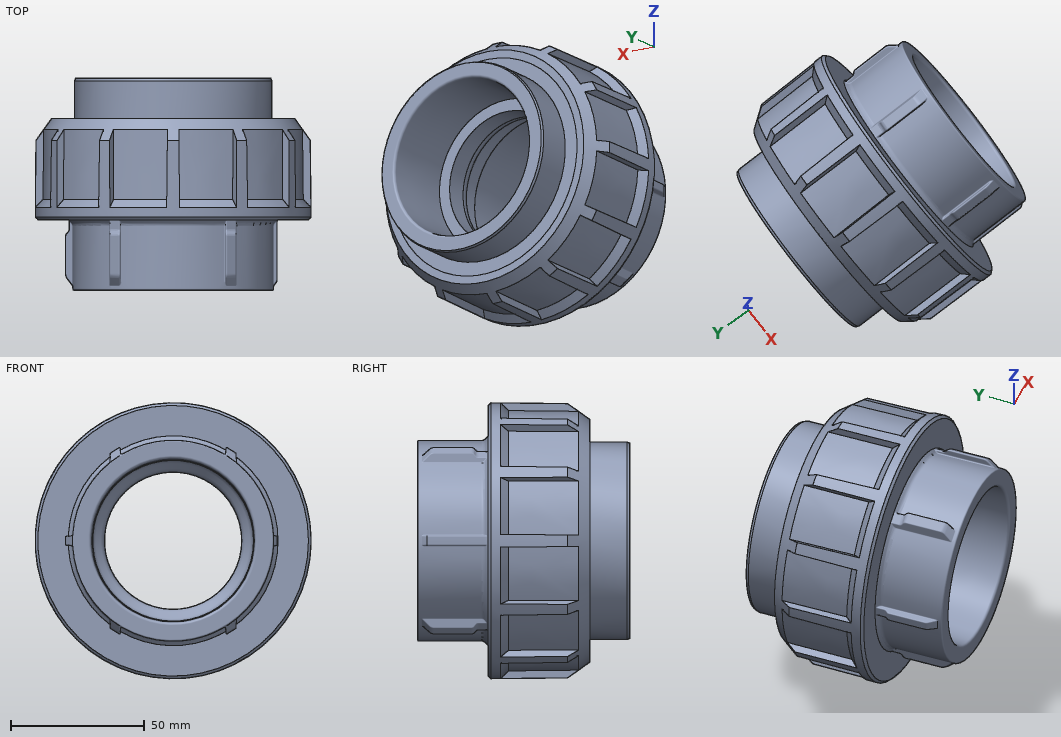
import cadquery as cq
import math


LENGTH = 79.5
NUT_FRONT = 26.4
NUT_BACK = 64.5
LIP_BACK = 32.1
JOINT = 42.4

NUT_RADIUS = 51.7
NUT_CHAMFER = 1.0
NUT_LIP_RADIUS = 39.3
NUT_CAVITY_RADIUS = 42.4
CONE_START = 56.2
CONE_START_RADIUS = 51.4
NUT_BACK_RADIUS = 45.5
POCKET_FRONT = 31.0
POCKET_FLOOR_FRONT = 34.0
POCKET_BACK = 60.4
POCKET_FLOOR_FRONT_RADIUS = 48.8
POCKET_FLOOR_BACK_RADIUS = 48.5
CUT_MARGIN = 1.0
CLEAR_RADIUS = NUT_RADIUS + CUT_MARGIN
GRIP_COUNT = 12
GRIP_FRONT_WIDTH = 4.9
GRIP_BACK_WIDTH = 4.1

BORE_RADIUS = 25.7
SOCKET_DEPTH = 28.4
SOCKET_MOUTH_RADIUS = 30.7
SOCKET_END_RADIUS = 30.3
MOUTH_ROUND = 1.0

FRONT_RADIUS = 37.7
FRONT_EDGE_ROUND = 0.5
COLLAR_FILLET = 2.0
THROAT_RADIUS = 30.1
THROAT_STEP = 0.3
THROAT_CONE_START = 36.5
THROAT_CONE_START_RADIUS = 29.0
THROAT_CONE_END_RADIUS = 26.9

RIB_FRONT = 1.3
RIB_FRONT_RADIUS = 37.5
RIB_LOW_RADIUS = 39.0
RIB_HIGH_RADIUS = 40.4
RIB_BEVEL_END = 5.2
RIB_STEP_FRONT = 20.9
RIB_STEP_ROUND = 1.6
RIB_BEVEL_ROUND = 2.8
RIB_EDGE_ROUND = 0.4
RIB_ROOT_FILLET = 0.4
RIB_ROOT_RADIUS = 35.2
RIB_ROOT_WIDTH = 4.3
RIB_TIP_WIDTH = 3.1
RIB_PAIR_OFFSET = 21.6
RIB_TIP_LEVEL = 41.4

REAR_RADIUS = 37.0
REAR_CHAMFER_LENGTH = 1.0
REAR_CHAMFER_DEPTH = 0.4

TOLERANCE = 0.01
FULL_TURN = 360
SLOPE_45 = math.radians(45)


def revolve(profile):
    return profile.close().revolve(FULL_TURN, (0, 0, 0), (0, 1, 0))


def arc_point(center_radius, center_y, size, angle):
    """Point on a profile arc, with the angle measured from the radial direction."""
    a = math.radians(angle)
    return center_radius + size * math.cos(a), center_y + size * math.sin(a)


def arc(center, size, start, end):
    """Middle point and end point of a profile arc between two angles."""
    return arc_point(*center, size, (start + end) / 2), arc_point(*center, size, end)


def distance_from_axis(edge):
    center = edge.Center()
    return math.hypot(center.x, center.z)


def grip_rib(index):
    """Radially straight rib whose width narrows towards the back of the nut."""
    rib = (
        cq.Workplane("XY")
        .polyline([
            (-GRIP_FRONT_WIDTH / 2, POCKET_FRONT),
            (GRIP_FRONT_WIDTH / 2, POCKET_FRONT),
            (GRIP_BACK_WIDTH / 2, NUT_BACK),
            (-GRIP_BACK_WIDTH / 2, NUT_BACK),
        ])
        .close()
        .extrude(CLEAR_RADIUS)
    )
    return rib.rotate((0, 0, 0), (0, 1, 0), index * FULL_TURN / GRIP_COUNT)


def nut_pockets():
    front_slope = (NUT_RADIUS - POCKET_FLOOR_FRONT_RADIUS) / (POCKET_FLOOR_FRONT - POCKET_FRONT)
    pockets = revolve(cq.Workplane("XY").polyline([
        (POCKET_FLOOR_FRONT_RADIUS, POCKET_FLOOR_FRONT),
        (CLEAR_RADIUS, POCKET_FRONT - CUT_MARGIN / front_slope),
        (CLEAR_RADIUS, POCKET_BACK),
        (POCKET_FLOOR_BACK_RADIUS, POCKET_BACK),
    ]))
    for index in range(GRIP_COUNT):
        pockets = pockets.cut(grip_rib(index))
    return pockets


def make_nut():
    body = revolve(cq.Workplane("XY").polyline([
        (NUT_LIP_RADIUS, NUT_FRONT),
        (NUT_RADIUS - NUT_CHAMFER, NUT_FRONT),
        (NUT_RADIUS, NUT_FRONT + NUT_CHAMFER),
        (CONE_START_RADIUS, CONE_START),
        (NUT_BACK_RADIUS, NUT_BACK),
        (NUT_CAVITY_RADIUS, NUT_BACK),
        (NUT_CAVITY_RADIUS, LIP_BACK),
        (NUT_LIP_RADIUS, LIP_BACK),
    ]))
    return body.cut(nut_pockets())


def front_barrel():
    collar_start = NUT_FRONT - (NUT_LIP_RADIUS - FRONT_RADIUS)
    fillet_reach = COLLAR_FILLET * math.tan(SLOPE_45 / 2)
    fillet_center = (FRONT_RADIUS + COLLAR_FILLET, collar_start - fillet_reach)
    edge_center = (FRONT_RADIUS - FRONT_EDGE_ROUND, FRONT_EDGE_ROUND)
    mouth_center = (SOCKET_MOUTH_RADIUS + MOUTH_ROUND, MOUTH_ROUND)

    cone_end = THROAT_CONE_START + THROAT_CONE_START_RADIUS - THROAT_CONE_END_RADIUS
    throat_round = (THROAT_RADIUS - THROAT_CONE_START_RADIUS) / (1 - math.cos(SLOPE_45))
    bore_round = (THROAT_CONE_END_RADIUS - BORE_RADIUS) / (1 - math.cos(SLOPE_45))
    throat_center = (THROAT_RADIUS - throat_round, THROAT_CONE_START - throat_round * math.sin(SLOPE_45))
    bore_center = (BORE_RADIUS + bore_round, cone_end + bore_round * math.sin(SLOPE_45))

    return revolve(
        cq.Workplane("XY")
        .moveTo(SOCKET_MOUTH_RADIUS + MOUTH_ROUND, 0)
        .lineTo(FRONT_RADIUS - FRONT_EDGE_ROUND, 0)
        .threePointArc(*arc(edge_center, FRONT_EDGE_ROUND, -90, 0))
        .lineTo(*arc_point(*fillet_center, COLLAR_FILLET, 180))
        .threePointArc(*arc(fillet_center, COLLAR_FILLET, 180, 135))
        .lineTo(NUT_LIP_RADIUS, NUT_FRONT)
        .lineTo(NUT_LIP_RADIUS, LIP_BACK)
        .lineTo(NUT_CAVITY_RADIUS, LIP_BACK)
        .lineTo(NUT_CAVITY_RADIUS, JOINT)
        .lineTo(BORE_RADIUS, JOINT)
        .lineTo(*arc_point(*bore_center, bore_round, 180))
        .threePointArc(*arc(bore_center, bore_round, 180, 225))
        .lineTo(THROAT_CONE_START_RADIUS, THROAT_CONE_START)
        .threePointArc(*arc(throat_center, throat_round, 45, 0))
        .lineTo(THROAT_RADIUS, SOCKET_DEPTH + THROAT_STEP)
        .lineTo(SOCKET_END_RADIUS, SOCKET_DEPTH)
        .lineTo(SOCKET_MOUTH_RADIUS, MOUTH_ROUND)
        .threePointArc(*arc(mouth_center, MOUTH_ROUND, 180, 270))
    )


def round_circle(ring, y, size):
    """Fillet the sharp circle that the ring has at this place along Y."""
    circle = ring.edges("%CIRCLE").filter(lambda edge: abs(edge.Center().y - y) < TOLERANCE)
    return circle.fillet(size)


def rib_ring(top_radius):
    """Full ring with the height profile of a rib; any part above RIB_LOW_RADIUS is a raised pad."""
    bevel_slope = (RIB_BEVEL_END - RIB_FRONT) / (RIB_HIGH_RADIUS - RIB_FRONT_RADIUS)
    bevel_end = RIB_FRONT + bevel_slope * (top_radius - RIB_FRONT_RADIUS)
    step_back = RIB_STEP_FRONT + top_radius - RIB_LOW_RADIUS
    points = [
        (RIB_ROOT_RADIUS, RIB_FRONT),
        (RIB_FRONT_RADIUS, RIB_FRONT),
        (top_radius, bevel_end),
    ]
    if top_radius > RIB_LOW_RADIUS:
        points.append((top_radius, RIB_STEP_FRONT))
        points.append((RIB_LOW_RADIUS, step_back))
    points += [(RIB_LOW_RADIUS, NUT_FRONT), (RIB_ROOT_RADIUS, NUT_FRONT)]
    ring = revolve(cq.Workplane("XY").polyline(points))

    if top_radius > RIB_LOW_RADIUS:
        ring = round_circle(ring, RIB_STEP_FRONT, RIB_STEP_ROUND)
        ring = round_circle(ring, step_back, RIB_STEP_ROUND)
        ring = round_circle(ring, bevel_end, RIB_BEVEL_ROUND)
    return ring


def rib_slab(root_level, offset):
    """Drafted slab standing along +Z, shifted sideways along X."""
    return (
        cq.Workplane("XZ", origin=(offset, 0, 0))
        .polyline([
            (-RIB_ROOT_WIDTH / 2, root_level),
            (RIB_ROOT_WIDTH / 2, root_level),
            (RIB_TIP_WIDTH / 2, RIB_TIP_LEVEL),
            (-RIB_TIP_WIDTH / 2, RIB_TIP_LEVEL),
        ])
        .close()
        .extrude(-NUT_FRONT)
    )


def make_rib(ring, offset, turn):
    """Rib with rounded top edges, shaped standing along +Z and then turned about Y."""
    root_level = math.sqrt(RIB_ROOT_RADIUS**2 - offset**2)
    rib = ring.intersect(rib_slab(root_level, offset))
    top_edges = rib.faces("<X or >X").edges().filter(
        lambda edge: distance_from_axis(edge) > FRONT_RADIUS and edge.Center().y < NUT_FRONT - TOLERANCE
    )
    return top_edges.fillet(RIB_EDGE_ROUND).rotate((0, 0, 0), (0, 1, 0), turn)


def make_front_end():
    high_ring = rib_ring(RIB_HIGH_RADIUS)
    low_ring = rib_ring(RIB_LOW_RADIUS)
    ribs = [make_rib(high_ring, 0, -90), make_rib(low_ring, 0, 90)]
    for offset in (-RIB_PAIR_OFFSET, RIB_PAIR_OFFSET):
        for turn in (0, 180):
            ribs.append(make_rib(high_ring, offset, turn))

    body = front_barrel()
    for rib in ribs:
        body = body.union(rib)
    root_edges = body.edges("|Y").filter(
        lambda edge: abs(distance_from_axis(edge) - FRONT_RADIUS) < TOLERANCE
    )
    return root_edges.fillet(RIB_ROOT_FILLET)


def make_rear_end():
    socket_floor = LENGTH - SOCKET_DEPTH
    mouth_center = (SOCKET_MOUTH_RADIUS + MOUTH_ROUND, LENGTH - MOUTH_ROUND)
    return revolve(
        cq.Workplane("XY")
        .moveTo(BORE_RADIUS, JOINT)
        .lineTo(NUT_CAVITY_RADIUS, JOINT)
        .lineTo(NUT_CAVITY_RADIUS, NUT_BACK)
        .lineTo(REAR_RADIUS, NUT_BACK)
        .lineTo(REAR_RADIUS, LENGTH - REAR_CHAMFER_LENGTH)
        .lineTo(REAR_RADIUS - REAR_CHAMFER_DEPTH, LENGTH)
        .lineTo(SOCKET_MOUTH_RADIUS + MOUTH_ROUND, LENGTH)
        .threePointArc(*arc(mouth_center, MOUTH_ROUND, 90, 180))
        .lineTo(SOCKET_END_RADIUS, socket_floor)
        .lineTo(BORE_RADIUS, socket_floor)
    )


nut = make_nut()
front_end = make_front_end()
rear_end = make_rear_end()

result = cq.Compound.makeCompound([nut.val(), front_end.val(), rear_end.val()])